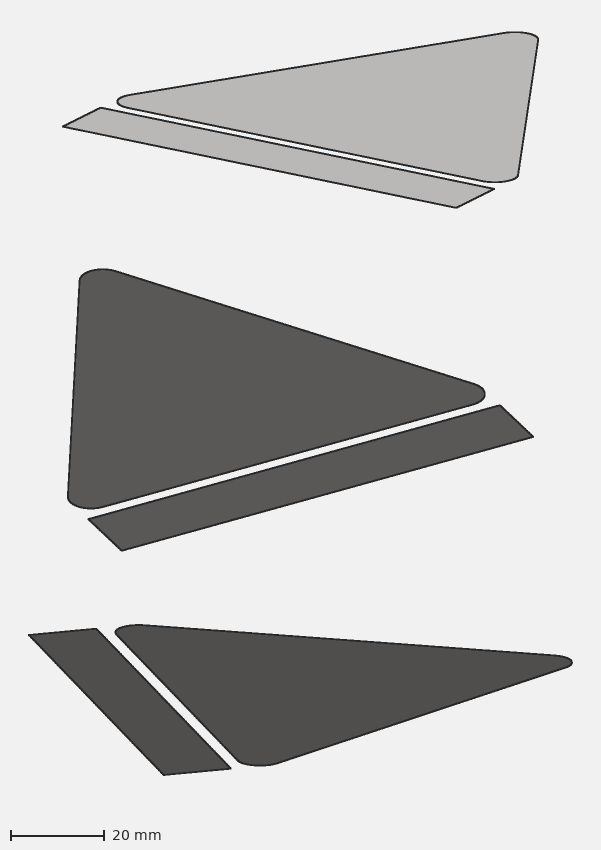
import cadquery as cq
import math

overall_width = 100.0
sheet_thickness = 0.05
corner_radius = 5.0
strip_depth = 15.0
gap = 3.0

center_side = overall_width - 2 * corner_radius
center_height = center_side * math.sin(math.radians(60))
corner_base_y = corner_radius
corner_centers = [
    (-center_side / 2, corner_base_y),
    (center_side / 2, corner_base_y),
    (0, corner_base_y + center_height),
]


def make_triangle():
    """Rounded equilateral triangle sheet, its base edge along Y = 0."""
    return (
        cq.Workplane("XY")
        .polyline(corner_centers)
        .close()
        .offset2D(corner_radius, "arc")
        .extrude(sheet_thickness)
    )


def make_strip():
    """Rectangular strip lying below the triangle, as wide as the triangle."""
    return (
        cq.Workplane("XY")
        .center(0, -gap - strip_depth / 2)
        .rect(overall_width, strip_depth)
        .extrude(sheet_thickness)
    )


triangle = make_triangle()
strip = make_strip()

result = cq.Compound.makeCompound([triangle.val(), strip.val()])